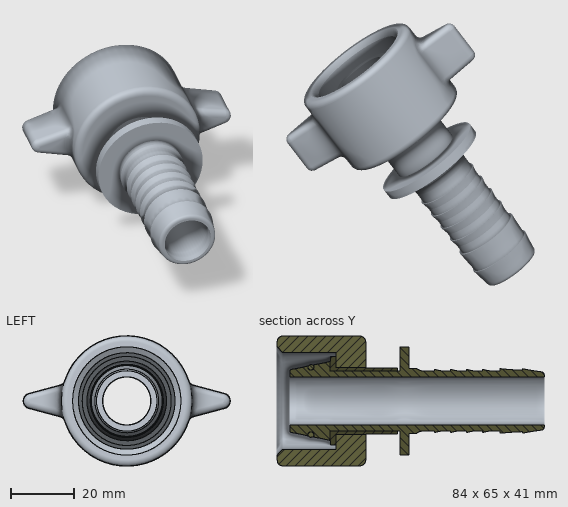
import cadquery as cq
import math


nut_length = 28.0
nut_radius = 41.0 / 2
nut_front_round = 1.85
nut_rear_round = 2.1
nut_mouth_radius = 34.0 / 2
nut_bore_radius = 30.3 / 2
nut_mouth_depth = 1.8
nut_floor_x = 18.5

wing_tip_y = 65.0 / 2
wing_base_y = 16.0
wing_center_x = 14.0
wing_tip_width = 14.1
wing_tip_round = 2.4
wing_side_taper = 15.0
wing_end_taper = 2.0
wing_edge_round = 1.9
wing_root_round = 1.85
root_zone_margin = 0.4

sleeve_radius = 21 / 2
sleeve_flange_radius = 28.0 / 2
sleeve_flange_thickness = 1.7
sleeve_end_x = 38.0
sleeve_front_x = nut_floor_x - sleeve_flange_thickness

tail_end_x = 84.0
tail_bore_radius = 15.0 / 2
stem_radius = 19.0 / 2
nose_x = 3.95
nose_bevel = 0.5
cone_end_radius = 25.0 / 2
flange_radius = 34.0 / 2
flange_x = 38.5
flange_thickness = 3.1
collar_radius = 20.7 / 2
collar_end_x = 43.8
collar_fillet_end_x = 46.0
small_barb_radius = 20.1 / 2
small_barb_count = 4
small_barb_x = 49.4
small_barb_pitch = 5.0
small_barb_length = 2.5
large_barb_radius = 20.5 / 2
large_barb_x = 69.9
end_barb_x = 76.95
large_barb_low_radius = 19.5 / 2
tail_end_radius = 18.15 / 2
tail_end_round = 1.1

ring_outer_radius = 23.0 / 2
ring_section_radius = 0.8
ring_x = 10.7


def revolve_about_x(profile):
    """Revolve a closed (x, radius) profile around the X axis."""
    return profile.close().revolve(360, (0, 0, 0), (1, 0, 0))


def make_wing():
    """Wing pointing to +Y: a round-tipped wedge trimmed to a slightly tapered width."""
    side_slope = math.tan(math.radians(wing_side_taper))
    end_slope = math.tan(math.radians(wing_end_taper))
    tangent_y = wing_tip_y - wing_tip_round * (1 - math.sin(math.radians(wing_side_taper)))
    tangent_z = wing_tip_round * math.cos(math.radians(wing_side_taper))
    base_z = tangent_z + (tangent_y - wing_base_y) * side_slope
    half_tip = wing_tip_width / 2
    half_base = half_tip + (wing_tip_y - wing_base_y) * end_slope
    wedge = (
        cq.Workplane("YZ", origin=(wing_center_x, 0, 0))
        .moveTo(wing_base_y, -base_z)
        .lineTo(tangent_y, -tangent_z)
        .threePointArc((wing_tip_y, 0), (tangent_y, tangent_z))
        .lineTo(wing_base_y, base_z)
        .close()
        .extrude(half_base, both=True)
    )
    width_trim = (
        cq.Workplane("XY")
        .moveTo(wing_center_x - half_base, wing_base_y)
        .lineTo(wing_center_x + half_base, wing_base_y)
        .lineTo(wing_center_x + half_tip, wing_tip_y)
        .lineTo(wing_center_x - half_tip, wing_tip_y)
        .close()
        .extrude(base_z, both=True)
    )
    wing = wedge.intersect(width_trim)
    end_edges = wing.faces("<X or >X").edges("not <Y")
    return end_edges.fillet(wing_edge_round)


def make_nut():
    nut = (
        cq.Workplane("YZ")
        .circle(nut_radius)
        .extrude(nut_length)
        .faces("<X").edges().fillet(nut_front_round)
        .faces(">X").edges().fillet(nut_rear_round)
    )
    wing = make_wing()
    nut = nut.union(wing).union(wing.rotate((0, 0, 0), (1, 0, 0), 180))
    root_zone = cq.selectors.BoxSelector(
        (nut_front_round + root_zone_margin, -nut_radius, -nut_radius),
        (nut_length - nut_rear_round - root_zone_margin, nut_radius, nut_radius),
        boundingbox=True,
    )
    nut = nut.edges(root_zone).fillet(wing_root_round)
    cavity = revolve_about_x(
        cq.Workplane("XY")
        .moveTo(0, 0)
        .lineTo(0, nut_mouth_radius)
        .lineTo(nut_mouth_depth, nut_bore_radius)
        .lineTo(nut_floor_x, nut_bore_radius)
        .lineTo(nut_floor_x, sleeve_radius)
        .lineTo(nut_length, sleeve_radius)
        .lineTo(nut_length, 0)
    )
    return nut.cut(cavity)


def make_sleeve():
    return revolve_about_x(
        cq.Workplane("XY")
        .moveTo(sleeve_front_x, stem_radius)
        .lineTo(sleeve_front_x, sleeve_flange_radius)
        .lineTo(nut_floor_x, sleeve_flange_radius)
        .lineTo(nut_floor_x, sleeve_radius)
        .lineTo(sleeve_end_x, sleeve_radius)
        .lineTo(sleeve_end_x, stem_radius)
    )


def make_ring():
    center_radius = ring_outer_radius - ring_section_radius
    return (
        cq.Workplane("XY")
        .center(ring_x, center_radius)
        .circle(ring_section_radius)
        .revolve(360, (0, -center_radius, 0), (1, -center_radius, 0))
    )


def make_tail(ring):
    collar_run = collar_fillet_end_x - collar_end_x
    collar_drop = collar_radius - stem_radius
    collar_fillet_radius = (collar_run**2 + collar_drop**2) / (2 * collar_drop)
    flange_end_x = flange_x + flange_thickness
    profile = (
        cq.Workplane("XY")
        .moveTo(nose_x, tail_bore_radius)
        .lineTo(nose_x, stem_radius)
        .lineTo(nose_x + nose_bevel, stem_radius + nose_bevel)
        .lineTo(sleeve_front_x, cone_end_radius)
        .lineTo(sleeve_front_x, stem_radius)
        .lineTo(flange_x, stem_radius)
        .lineTo(flange_x, flange_radius)
        .lineTo(flange_end_x, flange_radius)
        .lineTo(flange_end_x, collar_radius)
        .lineTo(collar_end_x, collar_radius)
        .radiusArc((collar_fillet_end_x, stem_radius), -collar_fillet_radius)
    )
    for i in range(small_barb_count):
        barb_x = small_barb_x + i * small_barb_pitch
        profile = (
            profile.lineTo(barb_x, stem_radius)
            .lineTo(barb_x, small_barb_radius)
            .lineTo(barb_x + small_barb_length, stem_radius)
        )
    tail = revolve_about_x(
        profile.lineTo(large_barb_x, stem_radius)
        .lineTo(large_barb_x, large_barb_radius)
        .lineTo(end_barb_x, large_barb_low_radius)
        .lineTo(end_barb_x, large_barb_radius)
        .lineTo(tail_end_x, tail_end_radius)
        .lineTo(tail_end_x, tail_bore_radius)
    )
    tail = tail.faces(">X").edges(cq.selectors.RadiusNthSelector(-1)).fillet(tail_end_round)
    return tail.cut(ring)


nut = make_nut()
sleeve = make_sleeve()
ring = make_ring()
tail = make_tail(ring)

result = cq.Compound.makeCompound([nut.val(), tail.val(), sleeve.val(), ring.val()])